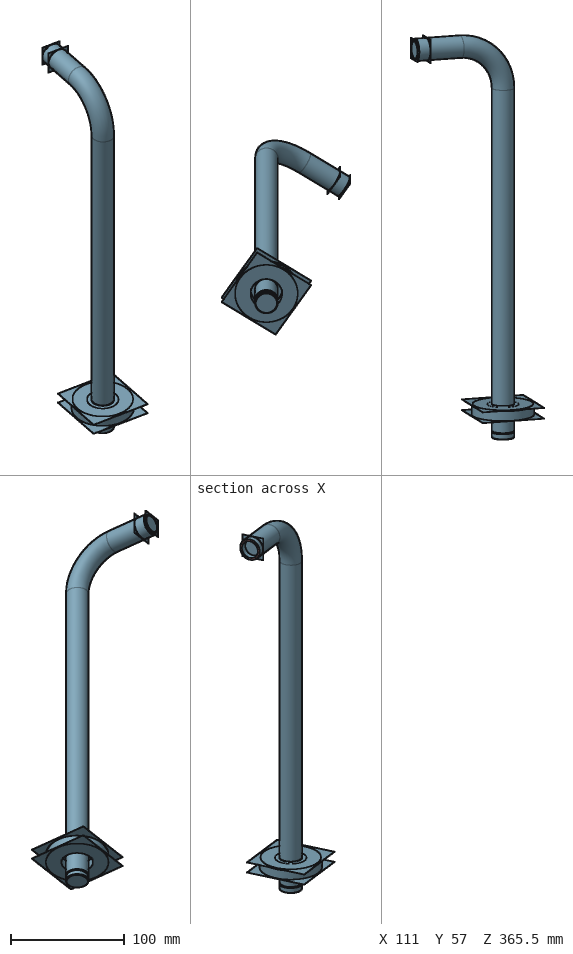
import cadquery as cq


total_height = 365.5
sheet_thickness = 0.2

tube_diameter = 20.0
bore_diameter = 15.5
axis_x = 82.5
bend_radius = 40.0
foot_chamfer = 0.7
foot_groove_z = 5.0
foot_groove_width = 1.0
foot_groove_depth = 0.5

fitting_length = 11.7
outlet_chamfer = 1.5
outlet_sheet_side = 18.3
joint_sheet_side = 21.0

flange_bottom_z = 21.0
flange_thickness = 10.0
flange_diameter = 55.2
flange_chamfer = 1.0
flange_sheet_side = 57.0
recess_diameter = 27.8
recess_roof = 0.7

tube_radius = tube_diameter / 2
bore_radius = bore_diameter / 2
outlet_z = total_height - joint_sheet_side / 2
bend_start_x = axis_x - bend_radius
bend_end_z = outlet_z - bend_radius


def around_upright(z):
    """Horizontal workplane centred on the vertical tube axis."""
    return cq.Workplane("XY", origin=(axis_x, 0, z))


def around_outlet(x):
    """Workplane facing +X, centred on the horizontal outlet axis."""
    return cq.Workplane("YZ", origin=(x, 0, outlet_z))


def make_tube():
    """Tube rising from the foot and bending over toward -X, up to the fitting."""
    path = (
        cq.Workplane("XZ")
        .moveTo(axis_x, 0)
        .lineTo(axis_x, bend_end_z)
        .radiusArc((bend_start_x, outlet_z), -bend_radius)
        .lineTo(fitting_length, outlet_z)
    )
    outside = around_upright(0).circle(tube_radius).sweep(path).faces("<Z").chamfer(foot_chamfer)
    bore = around_upright(0).circle(bore_radius).sweep(path)
    groove = (
        around_upright(foot_groove_z)
        .circle(tube_radius)
        .circle(tube_radius - foot_groove_depth)
        .extrude(foot_groove_width)
    )
    return outside.cut(bore).cut(groove)


def make_fitting():
    """Outlet ring closed by a square sheet in front, with a second sheet at the tube joint."""
    ring = around_outlet(0).circle(tube_radius).extrude(fitting_length)
    ring = ring.faces("<X").chamfer(outlet_chamfer)
    joint_sheet = (
        around_outlet(fitting_length - sheet_thickness)
        .rect(joint_sheet_side, joint_sheet_side)
        .extrude(sheet_thickness)
    )
    bore = around_outlet(0).circle(bore_radius).extrude(fitting_length)
    outlet_sheet = (
        around_outlet(0)
        .rect(outlet_sheet_side, outlet_sheet_side)
        .extrude(sheet_thickness)
    )
    return ring.union(joint_sheet).cut(bore).union(outlet_sheet)


def make_flange():
    """Round wall flange with a square sheet on each face and a recess underneath."""
    flange = around_upright(flange_bottom_z).circle(flange_diameter / 2).extrude(flange_thickness)
    flange = flange.faces(">Z").chamfer(flange_chamfer)
    top_sheet_z = flange_bottom_z + flange_thickness - sheet_thickness
    for z in (flange_bottom_z, top_sheet_z):
        sheet = around_upright(z).rect(flange_sheet_side, flange_sheet_side).extrude(sheet_thickness)
        flange = flange.union(sheet)
    bore = around_upright(flange_bottom_z).circle(tube_radius).extrude(flange_thickness)
    recess_depth = flange_thickness - recess_roof
    recess = around_upright(flange_bottom_z).circle(recess_diameter / 2).extrude(recess_depth)
    return flange.cut(bore).cut(recess)


tube = make_tube()
fitting = make_fitting()
flange = make_flange()

result = cq.Compound.makeCompound([tube.val(), fitting.val(), flange.val()])